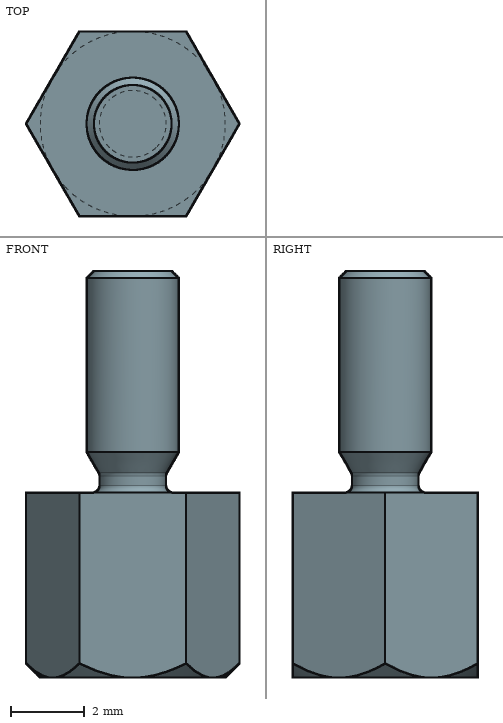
import cadquery as cq
import math

total_height = 11
across_corners = 5.78
hex_height = 5.0
stud_diameter = 2.5
neck_diameter = 1.8
tip_chamfer = 0.2
root_radius = 0.2
neck_length = 0.5
neck_blend_radius = 0.2
cone_angle = 30
base_chamfer_angle = 45

across_flats = across_corners * math.cos(math.radians(30))
stud_radius = stud_diameter / 2
neck_radius = neck_diameter / 2
neck_end_z = hex_height + neck_length
cone_end_z = neck_end_z + (stud_radius - neck_radius) / math.tan(math.radians(cone_angle))
blend_setback = neck_blend_radius * math.tan(math.radians(cone_angle / 2))
blend_start_z = neck_end_z - blend_setback
blend_end_z = neck_end_z + blend_setback * math.cos(math.radians(cone_angle))
blend_end_radius = neck_radius + blend_setback * math.sin(math.radians(cone_angle))


def make_hex_body():
    """Hexagonal body with its lower corners turned off by a cone."""
    prism = cq.Workplane("XY").polygon(6, across_corners).extrude(hex_height)
    base_radius = across_flats / 2
    corner_radius = across_corners / 2
    chamfer_height = (corner_radius - base_radius) * math.tan(math.radians(base_chamfer_angle))
    envelope = (
        cq.Workplane("XZ")
        .lineTo(base_radius, 0)
        .lineTo(corner_radius, chamfer_height)
        .lineTo(corner_radius, hex_height)
        .lineTo(0, hex_height)
        .close()
        .revolve(360, (0, 0), (0, 1))
    )
    return prism.intersect(envelope)


def make_stud():
    """Stud with a filleted root, an undercut neck and a chamfered tip."""
    return (
        cq.Workplane("XZ")
        .moveTo(0, hex_height)
        .lineTo(neck_radius + root_radius, hex_height)
        .radiusArc((neck_radius, hex_height + root_radius), root_radius)
        .lineTo(neck_radius, blend_start_z)
        .radiusArc((blend_end_radius, blend_end_z), neck_blend_radius)
        .lineTo(stud_radius, cone_end_z)
        .lineTo(stud_radius, total_height - tip_chamfer)
        .lineTo(stud_radius - tip_chamfer, total_height)
        .lineTo(0, total_height)
        .close()
        .revolve(360, (0, hex_height), (0, hex_height + 0.11))
    )


result = make_hex_body().union(make_stud())